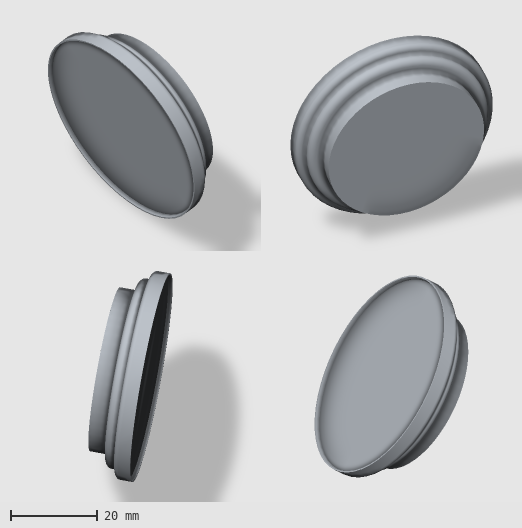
import cadquery as cq

base_radius = 24.65
base_depth = 4.05
base_round = 1.2
step_radius = 22.5
step_depth = 6.7
step_round = 1.5
boss_radius = 19.37
total_depth = 11.0
corner_fillet = 0.75

rim_width = 0.35
wall_taper = 0.25
disc_radius = base_radius - rim_width - wall_taper
disc_inset = 1.0
disc_thickness = 1.0
disc_back = disc_inset + disc_thickness


def make_holder():
    """Stepped body with rounded shoulders, filleted corners and a tapered front recess."""
    profile = (
        cq.Workplane("XY")
        .moveTo(0, 0)
        .lineTo(base_radius, 0)
        .lineTo(base_radius, base_depth - base_round)
        .radiusArc((base_radius - base_round, base_depth), -base_round)
        .lineTo(step_radius + corner_fillet, base_depth)
        .radiusArc((step_radius, base_depth + corner_fillet), corner_fillet)
        .lineTo(step_radius, step_depth - step_round)
        .radiusArc((step_radius - step_round, step_depth), -step_round)
        .lineTo(boss_radius + corner_fillet, step_depth)
        .radiusArc((boss_radius, step_depth + corner_fillet), corner_fillet)
        .lineTo(boss_radius, total_depth)
        .lineTo(0, total_depth)
        .close()
    )
    body = profile.revolve(360, (0, 0, 0), (0, 1, 0))
    recess = (
        cq.Workplane("XY")
        .moveTo(0, 0)
        .lineTo(base_radius - rim_width, 0)
        .lineTo(disc_radius, disc_inset)
        .lineTo(disc_radius, disc_back)
        .lineTo(0, disc_back)
        .close()
        .revolve(360, (0, 0, 0), (0, 1, 0))
    )
    return body.cut(recess)


def make_disc():
    """Plain disc that fills the recess up to the foot of its tapered wall."""
    front = cq.Workplane("XZ", origin=(0, disc_inset, 0))
    return front.circle(disc_radius).extrude(-disc_thickness)


holder = make_holder()
disc = make_disc()
result = cq.Compound.makeCompound([holder.val(), disc.val()])